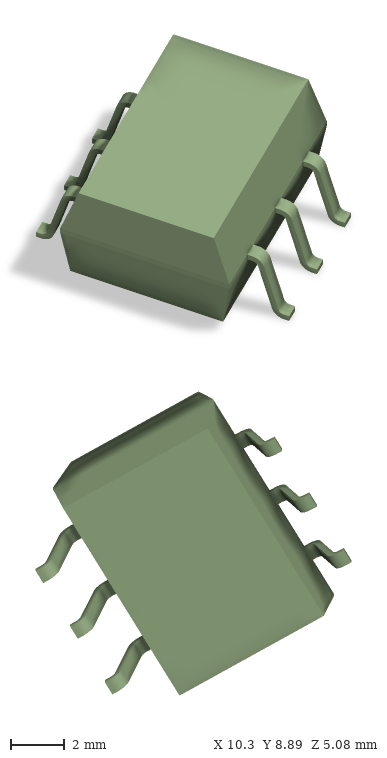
import cadquery as cq
import math

SPAN_X = 10.29
TOP_Z = 5.08

BAND_X = 6.88
BAND_Y = 8.89
TOP_FACE_X = 5.5
TOP_FACE_Y = 8.64
BOTTOM_FACE_X = 6.22
BOTTOM_FACE_Y = 8.55
BOTTOM_Z = 0.51

LEAD_THICKNESS = 0.26
LEAD_WIDTH = 0.56
LEAD_PITCH = 2.54
LEADS_PER_SIDE = 3
SHOULDER_LENGTH = 0.2
BEND_INNER_RADIUS = LEAD_THICKNESS
BEND_OUTER_RADIUS = BEND_INNER_RADIUS + LEAD_THICKNESS
LEG_LEAN = math.radians(15)

BAND_MIDDLE_Z = (BOTTOM_Z + TOP_Z) / 2
BAND_BOTTOM_Z = BAND_MIDDLE_Z - LEAD_THICKNESS / 2
BAND_TOP_Z = BAND_MIDDLE_Z + LEAD_THICKNESS / 2

MARKER_DIAMETER = 0.34
MARKER_DEPTH = 0.1
MARKER_X = -1.83
MARKER_Y = LEAD_PITCH * (LEADS_PER_SIDE - 1) / 2


def make_marker():
    return (
        cq.Workplane("XY", origin=(MARKER_X, MARKER_Y, TOP_Z - MARKER_DEPTH))
        .circle(MARKER_DIAMETER / 2)
        .extrude(MARKER_DEPTH)
    )


def make_tapered_half(band_face_z, end_x, end_y, end_z):
    """Loft from a flat face of the band to a smaller rectangle at end_z."""
    return (
        cq.Workplane("XY", origin=(0, 0, band_face_z))
        .rect(BAND_X, BAND_Y)
        .workplane(offset=end_z - band_face_z)
        .rect(end_x, end_y)
        .loft(ruled=True)
    )


def make_housing(marker):
    band = (
        cq.Workplane("XY", origin=(0, 0, BAND_BOTTOM_Z))
        .rect(BAND_X, BAND_Y)
        .extrude(LEAD_THICKNESS)
    )
    upper_half = make_tapered_half(BAND_TOP_Z, TOP_FACE_X, TOP_FACE_Y, TOP_Z)
    lower_half = make_tapered_half(BAND_BOTTOM_Z, BOTTOM_FACE_X, BOTTOM_FACE_Y, BOTTOM_Z)
    return band.union(upper_half).union(lower_half).cut(marker)


def point_on_bend(center, radius, angle):
    return (center[0] + radius * math.cos(angle), center[1] + radius * math.sin(angle))


def make_lead():
    """Lead on the -X side, centred on Y = 0, from its foot tip to the housing band."""
    housing_x = -BAND_X / 2
    upper_center = (housing_x - SHOULDER_LENGTH, BAND_TOP_Z - BEND_OUTER_RADIUS)

    center_gap = BEND_INNER_RADIUS + BEND_OUTER_RADIUS
    lower_center_z = BEND_OUTER_RADIUS
    center_rise = upper_center[1] - lower_center_z
    leg_length = (center_rise + center_gap * math.sin(LEG_LEAN)) / math.cos(LEG_LEAN)
    center_run = leg_length * math.sin(LEG_LEAN) + center_gap * math.cos(LEG_LEAN)
    lower_center = (upper_center[0] - center_run, lower_center_z)

    up = math.pi / 2
    down = -math.pi / 2
    upper_leg_side = math.pi - LEG_LEAN
    lower_leg_side = -LEG_LEAN
    upper_middle = (up + upper_leg_side) / 2
    lower_middle = (down + lower_leg_side) / 2
    foot_tip_x = -SPAN_X / 2

    return (
        cq.Workplane("XZ")
        .moveTo(foot_tip_x, 0)
        .lineTo(lower_center[0], 0)
        .threePointArc(
            point_on_bend(lower_center, BEND_OUTER_RADIUS, lower_middle),
            point_on_bend(lower_center, BEND_OUTER_RADIUS, lower_leg_side),
        )
        .lineTo(*point_on_bend(upper_center, BEND_INNER_RADIUS, upper_leg_side))
        .threePointArc(
            point_on_bend(upper_center, BEND_INNER_RADIUS, upper_middle),
            point_on_bend(upper_center, BEND_INNER_RADIUS, up),
        )
        .lineTo(housing_x, BAND_BOTTOM_Z)
        .lineTo(housing_x, BAND_TOP_Z)
        .lineTo(upper_center[0], BAND_TOP_Z)
        .threePointArc(
            point_on_bend(upper_center, BEND_OUTER_RADIUS, upper_middle),
            point_on_bend(upper_center, BEND_OUTER_RADIUS, upper_leg_side),
        )
        .lineTo(*point_on_bend(lower_center, BEND_INNER_RADIUS, lower_leg_side))
        .threePointArc(
            point_on_bend(lower_center, BEND_INNER_RADIUS, lower_middle),
            point_on_bend(lower_center, BEND_INNER_RADIUS, down),
        )
        .lineTo(foot_tip_x, LEAD_THICKNESS)
        .close()
        .extrude(LEAD_WIDTH / 2, both=True)
    )


def make_leads():
    """One lead per place: a row on the -X side and the same row turned to the +X side."""
    left_lead = make_lead()
    right_lead = left_lead.rotate((0, 0, 0), (0, 0, 1), 180)
    leads = []
    for index in range(LEADS_PER_SIDE):
        lead_y = (index - (LEADS_PER_SIDE - 1) / 2) * LEAD_PITCH
        for lead in (left_lead, right_lead):
            leads.append(lead.translate((0, lead_y, 0)).solids().val())
    return leads


marker = make_marker()
housing = make_housing(marker)
leads = make_leads()

result = cq.Compound.makeCompound([housing.solids().val(), marker.val(), *leads])